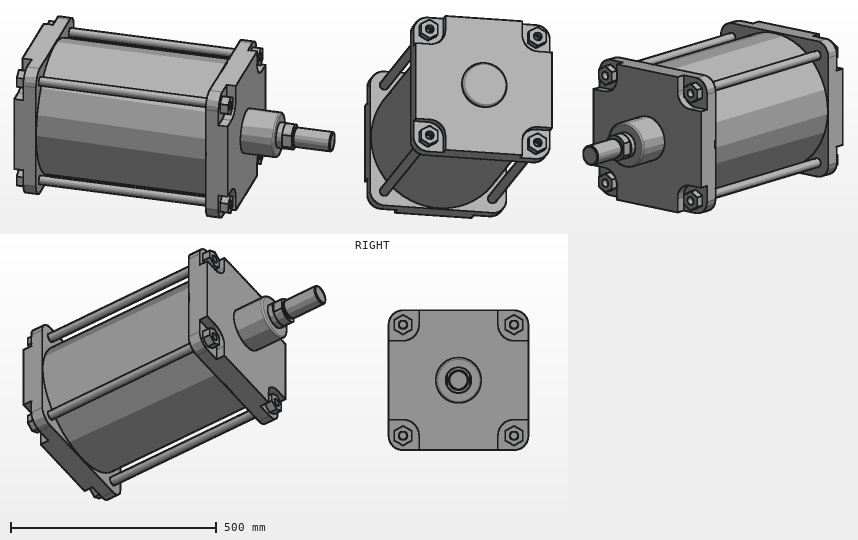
import cadquery as cq
import math

TOTAL_LENGTH = 766.0
REAR_BOSS_LENGTH = 11.0
HEAD_THICKNESS = 55.0
BARREL_LENGTH = 428.0
FRONT_BOSS_LENGTH = 83.0
REAR_HEAD_START = REAR_BOSS_LENGTH
BARREL_START = REAR_HEAD_START + HEAD_THICKNESS
BARREL_END = BARREL_START + BARREL_LENGTH
FRONT_HEAD_END = BARREL_END + HEAD_THICKNESS
FRONT_BOSS_END = FRONT_HEAD_END + FRONT_BOSS_LENGTH

HEAD_SIDE = 340.0
HEAD_CORNER_RADIUS = 35.0
BOSS_DIAMETER = 110.0
BOSS_EDGE_RADIUS = 4.0
POCKET_DEPTH = 23.0
POCKET_RADIUS = 39.0

BARREL_DIAMETER = 335.5

TIE_ROD_SPACING = 270.0
TIE_ROD_DIAMETER = 22.0
NUT_ACROSS_FLATS = 41.0
NUT_THICKNESS = 21.0
SOCKET_DIAMETER = 19.0
SOCKET_DEPTH = 31.0
TIE_ROD_OFFSET = TIE_ROD_SPACING / 2
TIE_ROD_CENTRES = [
    (y_side * TIE_ROD_OFFSET, z_side * TIE_ROD_OFFSET)
    for y_side in (-1, 1)
    for z_side in (-1, 1)
]

ROD_DIAMETER = 63.0
ROD_COLLAR_LENGTH = 14.5
FLATS_LENGTH = 24.0
FLATS_DIAMETER = 62.0
FLATS_WIDTH = 54.0
NECK_LENGTH = 4.0
NECK_DIAMETER = 44.5
THREAD_DIAMETER = 48.0
THREAD_CHAMFER = 2.0


def disc(start, length, diameter, y=0.0, z=0.0):
    """Solid cylinder along +X whose first face is at X = start."""
    plane = cq.Plane(origin=(start, y, z), xDir=(0, 0, 1), normal=(1, 0, 0))
    return cq.Workplane(plane).circle(diameter / 2).extrude(length)


def corner_pocket(start, y, z):
    """Cutter for one corner pocket, rounded around its tie rod and open to both outer sides."""
    reach = HEAD_SIDE / 2
    y_out = math.copysign(reach, y)
    z_out = math.copysign(reach, z)
    y_in = y - math.copysign(POCKET_RADIUS, y)
    z_in = z - math.copysign(POCKET_RADIUS, z)
    bend = POCKET_RADIUS * math.sqrt(0.5)
    bend_point = (y - math.copysign(bend, y), z - math.copysign(bend, z))
    plane = cq.Plane(origin=(start, 0, 0), xDir=(0, 1, 0), normal=(1, 0, 0))
    return (
        cq.Workplane(plane)
        .moveTo(y_out, z_out)
        .lineTo(y_in, z_out)
        .lineTo(y_in, z)
        .threePointArc(bend_point, (y, z_in))
        .lineTo(y_out, z_in)
        .close()
        .extrude(POCKET_DEPTH)
    )


def head_block(start, pocket_start):
    """Rounded square head with four nut pockets and four tie rod holes."""
    block = (
        cq.Workplane("XY")
        .box(HEAD_THICKNESS, HEAD_SIDE, HEAD_SIDE)
        .edges("|X")
        .fillet(HEAD_CORNER_RADIUS)
        .translate((start + HEAD_THICKNESS / 2, 0, 0))
    )
    for y, z in TIE_ROD_CENTRES:
        block = block.cut(corner_pocket(pocket_start, y, z))
        block = block.cut(disc(start, HEAD_THICKNESS, TIE_ROD_DIAMETER, y, z))
    return block


def make_rear_head():
    boss = disc(0, REAR_BOSS_LENGTH, BOSS_DIAMETER).faces("<X").fillet(BOSS_EDGE_RADIUS)
    return head_block(REAR_HEAD_START, REAR_HEAD_START).union(boss)


def make_front_head():
    boss = disc(FRONT_HEAD_END, FRONT_BOSS_LENGTH, BOSS_DIAMETER).faces(">X").fillet(BOSS_EDGE_RADIUS)
    return head_block(BARREL_END, FRONT_HEAD_END - POCKET_DEPTH).union(boss)


def make_barrel():
    return disc(BARREL_START, BARREL_LENGTH, BARREL_DIAMETER)


def hex_nut(start, y, z):
    """Hexagonal nut along +X with two flats facing the Y sides and corners at top and bottom."""
    across_corners = NUT_ACROSS_FLATS / math.cos(math.pi / 6)
    plane = cq.Plane(origin=(start, y, z), xDir=(0, 0, 1), normal=(1, 0, 0))
    return cq.Workplane(plane).polygon(6, across_corners).extrude(NUT_THICKNESS)


def make_tie_rod(y, z):
    """Tie rod with a nut around each end, flush with the rod, and a blind socket in each end."""
    rear_end = REAR_HEAD_START + POCKET_DEPTH - NUT_THICKNESS
    front_seat = FRONT_HEAD_END - POCKET_DEPTH
    front_end = front_seat + NUT_THICKNESS
    rod = disc(rear_end, front_end - rear_end, TIE_ROD_DIAMETER, y, z)
    for nut_start in (rear_end, front_seat):
        rod = rod.union(hex_nut(nut_start, y, z), clean=False)
    for socket_start in (rear_end, front_end - SOCKET_DEPTH):
        rod = rod.cut(disc(socket_start, SOCKET_DEPTH, SOCKET_DIAMETER, y, z), clean=False)
    return rod


def make_piston_rod():
    """Stepped rod end: round collar, two wrench flats, neck and threaded stud."""
    flats_start = FRONT_BOSS_END + ROD_COLLAR_LENGTH
    neck_start = flats_start + FLATS_LENGTH
    thread_start = neck_start + NECK_LENGTH
    thread_length = TOTAL_LENGTH - thread_start
    collar = disc(FRONT_BOSS_END, ROD_COLLAR_LENGTH, ROD_DIAMETER)
    flats_box = cq.Workplane("XY").box(FLATS_LENGTH, FLATS_WIDTH, FLATS_DIAMETER)
    flats_box = flats_box.translate((flats_start + FLATS_LENGTH / 2, 0, 0))
    flats = disc(flats_start, FLATS_LENGTH, FLATS_DIAMETER).intersect(flats_box)
    neck = disc(neck_start, NECK_LENGTH, NECK_DIAMETER)
    thread = disc(thread_start, thread_length, THREAD_DIAMETER).faces(">X").chamfer(THREAD_CHAMFER)
    return collar.union(flats).union(neck).union(thread)


rear_head = make_rear_head()
barrel = make_barrel()
front_head = make_front_head()
piston_rod = make_piston_rod()
tie_rods = [make_tie_rod(y, z) for y, z in TIE_ROD_CENTRES]

result = cq.Compound.makeCompound(
    [
        rear_head.val(),
        barrel.val(),
        front_head.val(),
        piston_rod.val(),
        *[tie_rod.val() for tie_rod in tie_rods],
    ]
)